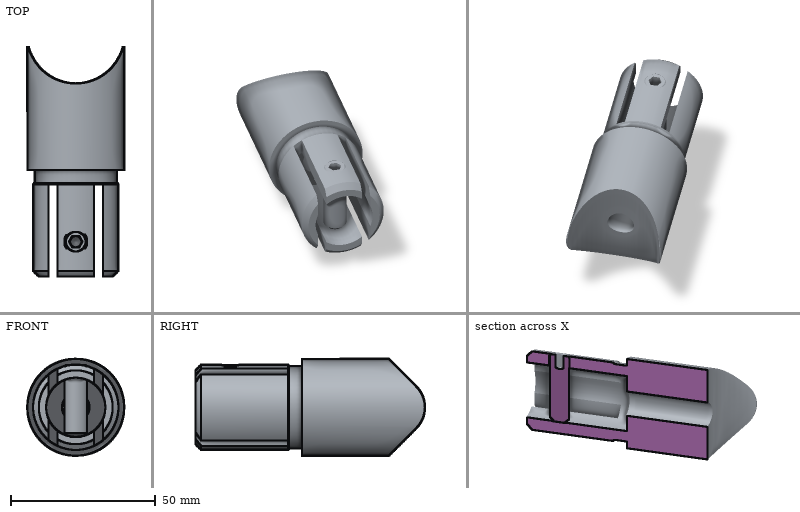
import cadquery as cq
import math

length = 79.7

head_diameter = 33.7
head_radius = head_diameter / 2
head_start = 37.0
groove_radius = 14.35
spigot_radius = 14.8
spigot_length = 32.05
groove_chamfer = spigot_radius - groove_radius
end_chamfer = 2.0

saddle_radius = head_radius
tip_rounding_radius = 10.3
tip_rounding_center_y = length - tip_rounding_radius
saddle_center_y = tip_rounding_center_y + tip_rounding_radius * math.sqrt(2)

bore_radius = 10.3
bore_depth = head_start
through_hole_radius = 4.7

slot_inner_x = 6.4
slot_outer_x = 9.4
slot_width = slot_outer_x - slot_inner_x
slot_center_x = (slot_inner_x + slot_outer_x) / 2

screw_y = 12.1
screw_radius = 4.0
screw_top_z = 14.7
screw_top_chamfer = 0.55
screw_top_face_radius = screw_radius - screw_top_chamfer
screw_tip_z = -10.3
screw_tip_chamfer = 1.4
socket_across_flats = 4.0
socket_depth = 4.8
drill_point_angle = 120.0


def make_screw_blank():
    """Screw without its socket: a rod chamfered at the top and at the tip."""
    tip_face_radius = screw_radius - screw_tip_chamfer
    half_profile = (
        cq.Workplane("XZ")
        .moveTo(0, screw_tip_z)
        .lineTo(tip_face_radius, screw_tip_z)
        .lineTo(screw_radius, screw_tip_z + screw_tip_chamfer)
        .lineTo(screw_radius, screw_top_z - screw_top_chamfer)
        .lineTo(screw_top_face_radius, screw_top_z)
        .lineTo(0, screw_top_z)
        .close()
    )
    blank = half_profile.revolve(360, (0, 0, 0), (0, 1, 0))
    return blank.translate((0, screw_y, 0))


def make_socket():
    """Hexagonal key socket that ends in a drill point."""
    across_corners = socket_across_flats / math.cos(math.pi / 6)
    hexagon = (
        cq.Workplane("XY", origin=(0, screw_y, screw_top_z))
        .polygon(6, across_corners)
        .extrude(-socket_depth)
    )
    point_radius = socket_across_flats / 2
    point_height = point_radius / math.tan(math.radians(drill_point_angle / 2))
    point_base = cq.Vector(0, screw_y, screw_top_z - socket_depth)
    drill_point = cq.Solid.makeCone(point_radius, 0, point_height, point_base, cq.Vector(0, 0, -1))
    return hexagon.union(cq.Workplane(drill_point))


def make_holder_blank():
    """Turned outside of the holder with its bore and through hole."""
    half_profile = (
        cq.Workplane("XY")
        .moveTo(bore_radius, 0)
        .lineTo(spigot_radius - end_chamfer, 0)
        .lineTo(spigot_radius, end_chamfer)
        .lineTo(spigot_radius, spigot_length)
        .lineTo(groove_radius, spigot_length + groove_chamfer)
        .lineTo(groove_radius, head_start)
        .lineTo(head_radius, head_start)
        .lineTo(head_radius, saddle_center_y)
        .lineTo(through_hole_radius, saddle_center_y)
        .lineTo(through_hole_radius, bore_depth)
        .lineTo(bore_radius, bore_depth)
        .close()
    )
    return half_profile.revolve(360, (0, 0, 0), (0, 1, 0))


def make_saddle_cutter():
    return (
        cq.Workplane("XY", origin=(0, saddle_center_y, 0))
        .circle(saddle_radius)
        .extrude(head_radius, both=True)
    )


def make_tip_cutter():
    """Stock outside an arc along X that joins the two flanks of the tips."""
    tangent_offset = tip_rounding_radius / math.sqrt(2)
    tangent_y = tip_rounding_center_y + tangent_offset
    return (
        cq.Workplane("YZ")
        .moveTo(tangent_y, -tangent_offset)
        .threePointArc((length, 0), (tangent_y, tangent_offset))
        .lineTo(saddle_center_y, tangent_offset)
        .lineTo(saddle_center_y, -tangent_offset)
        .close()
        .extrude(head_radius, both=True)
    )


def make_slot_cutter(side):
    return (
        cq.Workplane("XY")
        .box(slot_width, spigot_length, 2 * spigot_radius, centered=(True, False, True))
        .translate((side * slot_center_x, 0, 0))
    )


def make_screw_seat(screw_blank):
    """Recess shaped like the screw and open to the outside above its top face."""
    mouth = (
        cq.Workplane("XY", origin=(0, screw_y, screw_top_z))
        .circle(screw_top_face_radius)
        .extrude(spigot_radius - screw_top_z)
    )
    return screw_blank.union(mouth)


def make_holder(screw_blank):
    holder = make_holder_blank().cut(make_saddle_cutter()).cut(make_tip_cutter())
    for side in (-1, 1):
        holder = holder.cut(make_slot_cutter(side))
    return holder.cut(make_screw_seat(screw_blank))


screw_blank = make_screw_blank()
holder = make_holder(screw_blank)
set_screw = screw_blank.cut(make_socket())

result = cq.Compound.makeCompound([holder.val(), set_screw.val()])